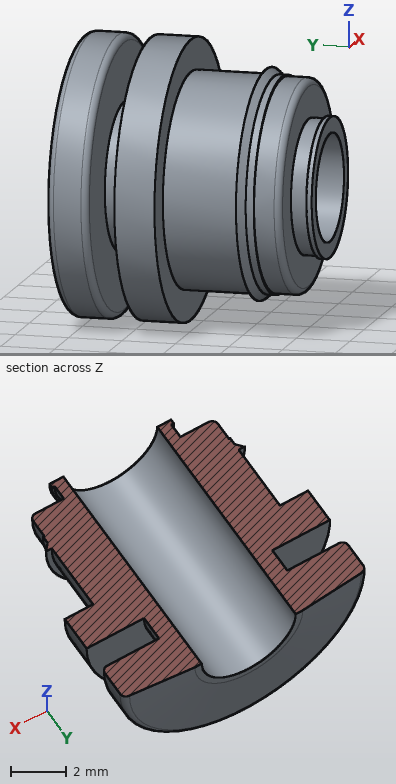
import cadquery as cq


bore_diameter = 4.0
tip_diameter = 5.0
lip_diameter = 5.2
neck_diameter = 5.5
pilot_diameter = 7.9
barrel_diameter = 8.0
barb_diameter = 8.5
crown_flat_diameter = 4.6
flange_diameter = 10.4

lip_length = 0.2
tip_length = 0.8
pilot_length = 1.0
barb_offset = 0.3
barb_length = 0.3
barrel_length = 3.4
flange_length = 1.5
neck_length = 1.0
cap_rim_length = 1.53
overall_length = 9.46

edge_radius = 0.25

pilot_start = tip_length
barrel_start = pilot_start + pilot_length
barb_start = barrel_start + barb_offset
flange_start = barrel_start + barrel_length
neck_start = flange_start + flange_length
cap_start = neck_start + neck_length
crown_start = cap_start + cap_rim_length


def disc(diameter, start, length):
    """Cylinder about Y that begins at Y = start and runs towards +Y."""
    return cq.Workplane("XZ", origin=(0, start, 0)).circle(diameter / 2).extrude(-length)


def make_pilot():
    """Short guide at the end of the barrel, rounded on its tip side."""
    return disc(pilot_diameter, pilot_start, pilot_length).faces("<Y").edges().fillet(edge_radius)


def make_barb():
    """Conical ring that widens from the barrel diameter towards the flange."""
    barb_end = barb_start + barb_length
    profile = (
        cq.Workplane("XY")
        .moveTo(0, barb_start)
        .lineTo(barrel_diameter / 2, barb_start)
        .lineTo(barb_diameter / 2, barb_end)
        .lineTo(0, barb_end)
        .close()
    )
    return profile.revolve(360, (0, 0, 0), (0, 1, 0))


def make_cap():
    """Round-edged cap whose outer face is a shallow cone with a flat centre."""
    rim = disc(flange_diameter, cap_start, cap_rim_length).edges().fillet(edge_radius)
    crown_profile = (
        cq.Workplane("XY")
        .moveTo(0, crown_start)
        .lineTo(flange_diameter / 2 - edge_radius, crown_start)
        .lineTo(crown_flat_diameter / 2, overall_length)
        .lineTo(0, overall_length)
        .close()
    )
    return rim.union(crown_profile.revolve(360, (0, 0, 0), (0, 1, 0)))


def make_bore():
    """Hole through the whole length."""
    return disc(bore_diameter, 0, overall_length)


result = (
    disc(lip_diameter, 0, lip_length)
    .union(disc(tip_diameter, lip_length, tip_length - lip_length))
    .union(make_pilot())
    .union(disc(barrel_diameter, barrel_start, barrel_length))
    .union(make_barb())
    .union(disc(flange_diameter, flange_start, flange_length))
    .union(disc(neck_diameter, neck_start, neck_length))
    .union(make_cap())
    .cut(make_bore())
)